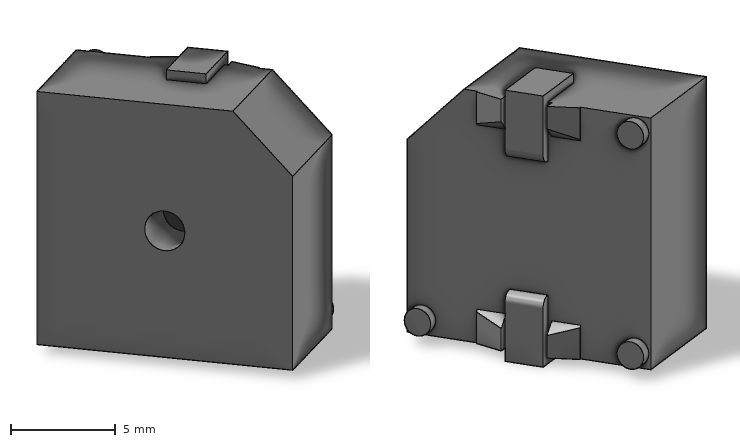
import cadquery as cq

body_size = 12.8
body_depth = 6.4
corner_chamfer = 3.0
half_body = body_size / 2

hole_diameter = 2.0
hole_depth = 3.0

overall_height = 13.8
tab_width = 2.0
tab_thickness = (overall_height - body_size) / 2
tab_rear_height = 0.57
tab_side_reach = 2.93
tab_rear_length = 3.49
tab_end_radius = 0.5

rib_inner_x = 1.2
rib_outer_x = 2.72
rib_low_height = 0.1
rib_high_height = tab_rear_height
rib_end_z = 1.61 + rib_low_height

pin_diameter = 1.4
pin_inset = 0.8
left_pin_height = 0.6
right_pin_height = 0.57

overlap = 0.14


def make_body():
    block = cq.Workplane("XY").box(body_size, body_depth, body_size, centered=(True, False, True))
    block = block.edges(">X and >Z").chamfer(corner_chamfer)
    hole = cq.Workplane("XZ").circle(hole_diameter / 2).extrude(-hole_depth)
    return block.cut(hole)


def make_upper_terminal():
    top = half_body + tab_thickness
    rear = body_depth + tab_rear_height
    leg_end = top - tab_rear_length
    arc_centre_y = rear - tab_end_radius
    arc_centre_z = leg_end + tab_end_radius
    diagonal = tab_end_radius * 0.5 ** 0.5
    return (
        cq.Workplane("YZ")
        .moveTo(body_depth - tab_side_reach, top)
        .lineTo(rear, top)
        .lineTo(rear, arc_centre_z)
        .threePointArc((arc_centre_y + diagonal, arc_centre_z - diagonal), (arc_centre_y, leg_end))
        .lineTo(body_depth - overlap, leg_end)
        .lineTo(body_depth - overlap, half_body - overlap)
        .lineTo(body_depth - tab_side_reach, half_body - overlap)
        .close()
        .extrude(tab_width / 2, both=True)
    )


def make_upper_right_rib():
    sloped = (
        cq.Workplane("XY", origin=(0, 0, half_body))
        .moveTo(rib_inner_x, body_depth - overlap)
        .lineTo(rib_outer_x, body_depth - overlap)
        .lineTo(rib_outer_x, body_depth + rib_low_height)
        .lineTo(rib_inner_x, body_depth + rib_high_height)
        .close()
        .extrude(-(rib_end_z + overlap))
    )
    side = (
        cq.Workplane("YZ")
        .moveTo(body_depth - overlap, half_body)
        .lineTo(body_depth + rib_high_height, half_body)
        .lineTo(body_depth + rib_high_height, half_body - rib_end_z + rib_high_height)
        .lineTo(body_depth - overlap, half_body - rib_end_z - overlap)
        .close()
        .extrude(rib_outer_x)
    )
    return sloped.intersect(side)


def make_pin(x_side, z_side, height):
    offset = half_body - pin_inset
    return (
        cq.Workplane("XZ", origin=(x_side * offset, body_depth - overlap, z_side * offset))
        .circle(pin_diameter / 2)
        .extrude(-(height + overlap))
    )


result = make_body()

upper_rib = make_upper_right_rib()
upper_terminal = make_upper_terminal()
for feature in (upper_terminal, upper_rib, upper_rib.mirror("YZ")):
    result = result.union(feature).union(feature.mirror("XY"))

for x_side, z_side, height in (
    (-1, 1, left_pin_height),
    (-1, -1, left_pin_height),
    (1, -1, right_pin_height),
):
    result = result.union(make_pin(x_side, z_side, height))